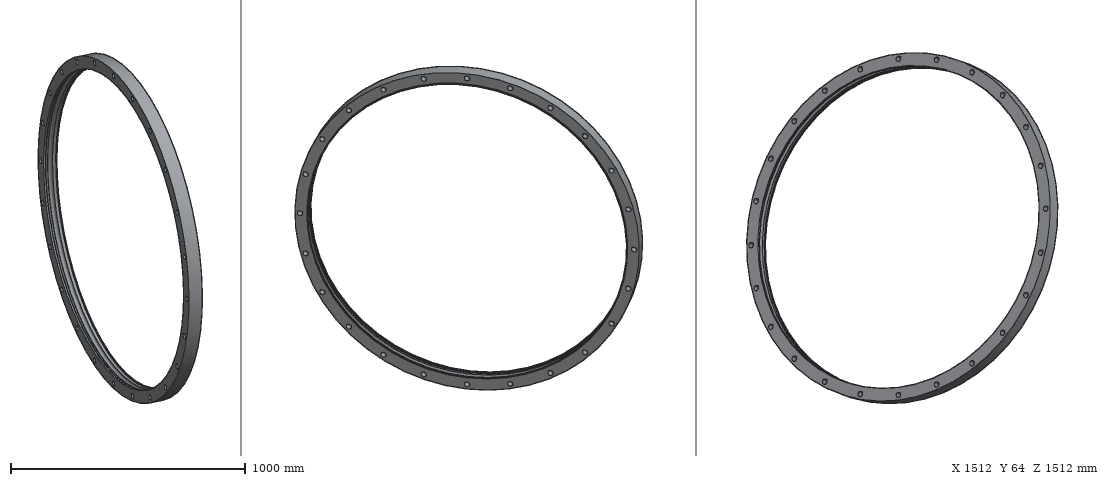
import cadquery as cq

outer_radius = 756
width = 64.0
bore_radius = 700.0

land_recess = 5.0
front_lip_width = 10.0
back_lip_width = 5.0

raceway_width = 23.0
raceway_center_y = 2.0
raceway_depth = 14.0

bolt_count = 24
bolt_circle_radius = 733.0
bolt_hole_diameter = 23.0

front_y = -width / 2
back_y = width / 2
land_radius = bore_radius + land_recess
land_front_y = front_y + front_lip_width
land_back_y = back_y - back_lip_width
raceway_front_y = raceway_center_y - raceway_width / 2
raceway_back_y = raceway_center_y + raceway_width / 2


def ring_body():
    """Revolve the ring section, drawn as (Y, Z) at the bottom of the ring."""
    section = (
        cq.Workplane("YZ")
        .moveTo(front_y, -outer_radius)
        .lineTo(front_y, -bore_radius)
        .lineTo(land_front_y, -bore_radius)
        .lineTo(land_front_y, -land_radius)
        .lineTo(raceway_front_y, -land_radius)
        .threePointArc(
            (raceway_center_y, -land_radius - raceway_depth),
            (raceway_back_y, -land_radius),
        )
        .lineTo(land_back_y, -land_radius)
        .lineTo(land_back_y, -bore_radius)
        .lineTo(back_y, -bore_radius)
        .lineTo(back_y, -outer_radius)
        .close()
    )
    return section.revolve(360, (0, 0, 0), (1, 0, 0))


def bolt_holes():
    """Through holes, evenly spaced, with the first one on the X axis."""
    return (
        cq.Workplane("XZ")
        .polarArray(bolt_circle_radius, 0, 360, bolt_count)
        .circle(bolt_hole_diameter / 2)
        .extrude(width, both=True)
    )


result = ring_body().cut(bolt_holes())